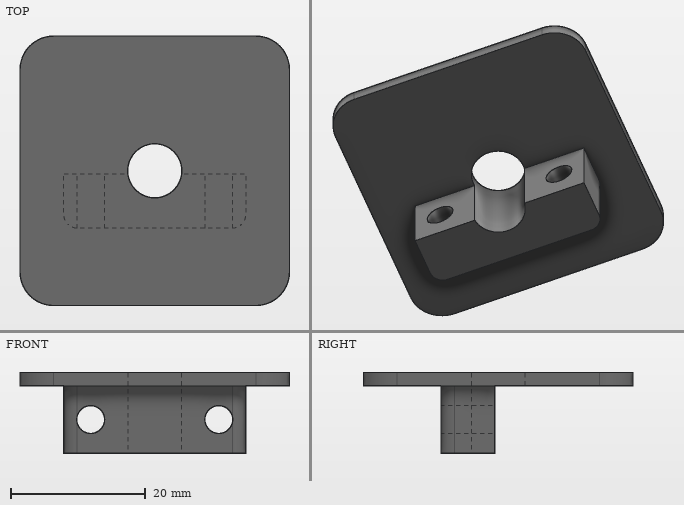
import cadquery as cq

plate_side = 40.0
plate_thickness = 2.0
plate_corner_radius = 5.0
center_hole_diameter = 8.0

block_length = 27.0
block_depth = 8.0
block_height = 10.0
block_corner_radius = 2.0
block_back_y = -0.5
block_center_y = block_back_y - block_depth / 2

cross_hole_diameter = 4.1
cross_hole_spacing = 19.0
cross_hole_z = -block_height / 2


def make_plate():
    """Flat square plate with rounded vertical corners."""
    plate = cq.Workplane("XY").rect(plate_side, plate_side).extrude(plate_thickness)
    return plate.edges("|Z").fillet(plate_corner_radius)


def make_block():
    """Block under the plate, rounded on its two front vertical edges."""
    block = (
        cq.Workplane("XY")
        .center(0, block_center_y)
        .rect(block_length, block_depth)
        .extrude(-block_height)
    )
    return block.faces("<Y").edges("|Z").fillet(block_corner_radius)


def make_center_hole():
    """Vertical bore through the plate and on through the back of the block."""
    return (
        cq.Workplane("XY", origin=(0, 0, -block_height))
        .circle(center_hole_diameter / 2)
        .extrude(block_height + plate_thickness)
    )


def make_cross_holes():
    """Pair of horizontal holes through the full depth of the block."""
    half_spacing = cross_hole_spacing / 2
    return (
        cq.Workplane("XZ", origin=(0, block_back_y, cross_hole_z))
        .pushPoints([(-half_spacing, 0), (half_spacing, 0)])
        .circle(cross_hole_diameter / 2)
        .extrude(block_depth)
    )


result = make_plate().union(make_block()).cut(make_center_hole()).cut(make_cross_holes())